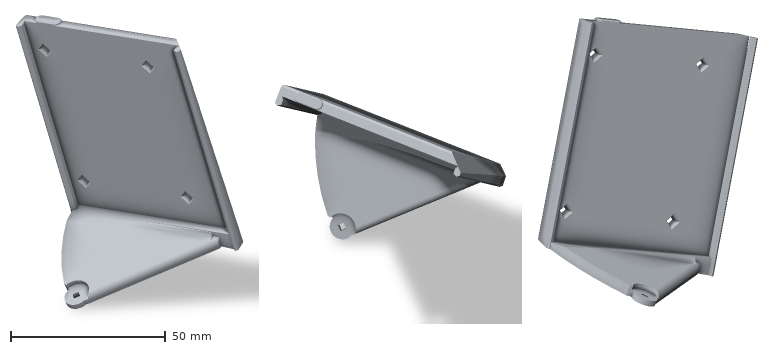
import cadquery as cq
import math


TRAY_WIDTH = 65.5
FLOOR_THICKNESS = 3.7
LEDGE_DROP = 73.2
LEDGE_DEPTH = 6.5
BACK_BEVEL_WIDTH = 0.4
BACK_BEVEL_DEPTH = 0.8

RAIL_WIDTH = 2.2
RAIL_NECK = 1.5
RAIL_DEPTH = 7.1
RAIL_CREST = 0.9
RAIL_SHOULDER = 0.7
RAIL_NECK_DEPTH = 4.8

SLANT_TOP_X = 60.1
SLANT_BOTTOM_X = 62.3

HOLE_DIAMETER = 4.05
HOLE_MOUTH_DIAMETER = 5.3
HOLE_MOUTH_DEPTH = 0.6
HOLE_SPACING_X = 41.3
HOLE_SPACING_Z = 52.2
FIRST_HOLE_X = 6.7
FIRST_HOLE_DROP = 10.9

TAB_LENGTH = 9.8
TAB_START_X = 5.3
TAB_HEIGHT = 0.8
TAB_CHAMFER = 0.3

SHELF_DROP = 73.6
SHELF_PITCH = 14.0
SHELF_ROLL = 3.5
SHELF_THICKNESS = 3.7
SHELF_RIGHT_X = 59.0
SHELF_RIGHT_DEPTH = 7.5
SHELF_EDGE_RADIUS = 2.2
BLEND_RADIUS = 2.5

PAD_X = 21.0
PAD_DEPTH = 38.8
PAD_RADIUS = 4.1
PAD_THICKNESS = 2.0
PAD_RECESS_RADIUS = 4.9
PAD_HOLE_DIAMETER = 3.0

TRAY_LEAN = 22.2
TRAY_ROLL = -1.65
TRAY_TURN = 20.0

OVERRUN = 12.0
HALF_SPACE = 200.0


def to_shelf_frame(shape):
    """Tilt a shape from the shelf frame into the tray frame."""
    pitched = shape.rotate((0, 0, 0), (1, 0, 0), SHELF_PITCH)
    rolled = pitched.rotate((0, 0, 0), (0, 1, 0), SHELF_ROLL)
    return rolled.translate((0, 0, -SHELF_DROP))


def box(x_size, depth, z_low, z_high):
    """Block from the tray's back-left edge, reaching forward by depth."""
    block = cq.Workplane("XY").box(x_size, depth, z_high - z_low, centered=False)
    return block.translate((0, -depth, z_low))


def below_underside():
    """Everything under the plane of the shelf underside."""
    half = cq.Workplane("XY").box(HALF_SPACE, HALF_SPACE, HALF_SPACE)
    return to_shelf_frame(half.translate((0, 0, -HALF_SPACE / 2)))


def rail():
    """Left side rail with its inward lip, over the full tray height."""
    side_depth = RAIL_DEPTH - RAIL_SHOULDER
    section = [
        (0, 0),
        (0, -side_depth),
        (RAIL_CREST, -RAIL_DEPTH),
        (RAIL_WIDTH, -side_depth),
        (RAIL_WIDTH, -RAIL_NECK_DEPTH),
        (RAIL_NECK, -FLOOR_THICKNESS),
        (RAIL_NECK, 0),
    ]
    length = LEDGE_DROP + OVERRUN
    return cq.Workplane("XY").polyline(section).close().extrude(-length)


def slanted_corner():
    """Wedge removed from the back +x corner, narrowing toward the lower end."""
    far = TRAY_WIDTH + OVERRUN
    top_leg = far - SLANT_TOP_X
    length = LEDGE_DROP + OVERRUN
    bottom_x = SLANT_TOP_X + (SLANT_BOTTOM_X - SLANT_TOP_X) * length / LEDGE_DROP
    bottom_leg = far - bottom_x
    top = [(SLANT_TOP_X, 0), (far, 0), (far, -top_leg)]
    bottom = [(bottom_x, 0), (far, 0), (far, -bottom_leg)]
    wedge = cq.Workplane("XY").polyline(top).close()
    wedge = wedge.workplane(offset=-length).polyline(bottom).close()
    return wedge.loft(ruled=True)


def back_bevels():
    """Narrow bevels along the top and left edges of the back face."""
    profile = [(0, 0), (BACK_BEVEL_WIDTH, 0), (0, -BACK_BEVEL_DEPTH)]
    left = cq.Workplane("XY").polyline(profile).close().extrude(-(LEDGE_DROP + OVERRUN))
    top_profile = [(0, 0), (0, -BACK_BEVEL_WIDTH), (-BACK_BEVEL_DEPTH, 0)]
    top = cq.Workplane("YZ").polyline(top_profile).close().extrude(TRAY_WIDTH)
    return left.union(top)


def screw_holes():
    """Square through holes, each with a flared mouth on the tray floor."""
    holes = cq.Workplane("XY")
    for x in (FIRST_HOLE_X, FIRST_HOLE_X + HOLE_SPACING_X):
        for drop in (FIRST_HOLE_DROP, FIRST_HOLE_DROP + HOLE_SPACING_Z):
            back = cq.Workplane("XZ", origin=(x, 0, -drop))
            holes = holes.union(back.polygon(4, HOLE_DIAMETER).extrude(FLOOR_THICKNESS))
            mouth = back.workplane(offset=FLOOR_THICKNESS - HOLE_MOUTH_DEPTH)
            mouth = mouth.polygon(4, HOLE_DIAMETER).workplane(offset=HOLE_MOUTH_DEPTH)
            holes = holes.union(mouth.polygon(4, HOLE_MOUTH_DIAMETER).loft(ruled=True))
    return holes


def top_tab():
    """Round-ended tab standing on the top end of the floor."""
    tab = cq.Workplane("XY").slot2D(TAB_LENGTH, FLOOR_THICKNESS).extrude(TAB_HEIGHT)
    tab = tab.faces(">Z").edges().chamfer(TAB_CHAMFER)
    return tab.translate((TAB_START_X + TAB_LENGTH / 2, -FLOOR_THICKNESS / 2, 0))


def tray():
    """Floor, closing ledge and rails, trimmed along the shelf underside."""
    body = box(TRAY_WIDTH, FLOOR_THICKNESS, -LEDGE_DROP - OVERRUN, 0)
    body = body.union(box(TRAY_WIDTH, LEDGE_DEPTH, -LEDGE_DROP - OVERRUN, -LEDGE_DROP))
    body = body.union(rail())
    right_rail = rail().mirror("YZ").translate((TRAY_WIDTH, 0, 0))
    body = body.union(right_rail)
    body = body.cut(slanted_corner()).cut(back_bevels()).cut(screw_holes())
    return body.union(top_tab()).cut(below_underside())


def shelf():
    """Tapered shelf with a bowed left side and a rounded upper right edge."""
    left_start = (1.2, -7.0)
    left_middle = (9.3, -27.5)
    left_end = (15.5, -36.5)
    tip_right = (25.2, -40.0)
    plate = (
        cq.Workplane("XY")
        .moveTo(left_start[0], 0)
        .lineTo(*left_start)
        .threePointArc(left_middle, left_end)
        .lineTo(*tip_right)
        .lineTo(SHELF_RIGHT_X, -SHELF_RIGHT_DEPTH)
        .lineTo(SHELF_RIGHT_X, 0)
        .close()
        .extrude(SHELF_THICKNESS)
    )
    slope_middle = (
        (tip_right[0] + SHELF_RIGHT_X) / 2,
        (tip_right[1] - SHELF_RIGHT_DEPTH) / 2,
        SHELF_THICKNESS,
    )
    upper_edge = cq.selectors.NearestToPointSelector(slope_middle)
    return plate.edges(upper_edge).fillet(SHELF_EDGE_RADIUS)


def pad_at_tip(plate):
    """Step the shelf tip down to a round pad with a screw hole."""
    tip = cq.Workplane("XY", origin=(PAD_X, -PAD_DEPTH, 0))
    recess = tip.workplane(offset=PAD_THICKNESS).circle(PAD_RECESS_RADIUS).extrude(SHELF_THICKNESS)
    pad = tip.circle(PAD_RADIUS).extrude(PAD_THICKNESS)
    hole = tip.polygon(4, PAD_HOLE_DIAMETER).extrude(PAD_THICKNESS)
    return plate.cut(recess).union(pad).cut(hole)


def ledge_blend():
    """Concave blend where the shelf top meets the front of the ledge."""
    tilt = math.radians(SHELF_PITCH)
    ledge_front = (LEDGE_DEPTH - SHELF_THICKNESS * math.sin(tilt)) / math.cos(tilt)
    z = SHELF_THICKNESS
    return (
        cq.Workplane("YZ")
        .moveTo(-ledge_front, z)
        .lineTo(-ledge_front - BLEND_RADIUS, z)
        .radiusArc((-ledge_front, z + BLEND_RADIUS), -BLEND_RADIUS)
        .close()
        .extrude(SHELF_RIGHT_X - SHELF_EDGE_RADIUS)
    )


shelf_body = to_shelf_frame(pad_at_tip(shelf()).union(ledge_blend()))
shelf_body = shelf_body.cut(box(TRAY_WIDTH, HALF_SPACE, -LEDGE_DROP, 0))

part = tray().union(shelf_body)
part = part.rotate((0, 0, 0), (1, 0, 0), TRAY_LEAN)
part = part.rotate((0, 0, 0), (0, 1, 0), TRAY_ROLL)
result = part.rotate((0, 0, 0), (0, 0, 1), TRAY_TURN)